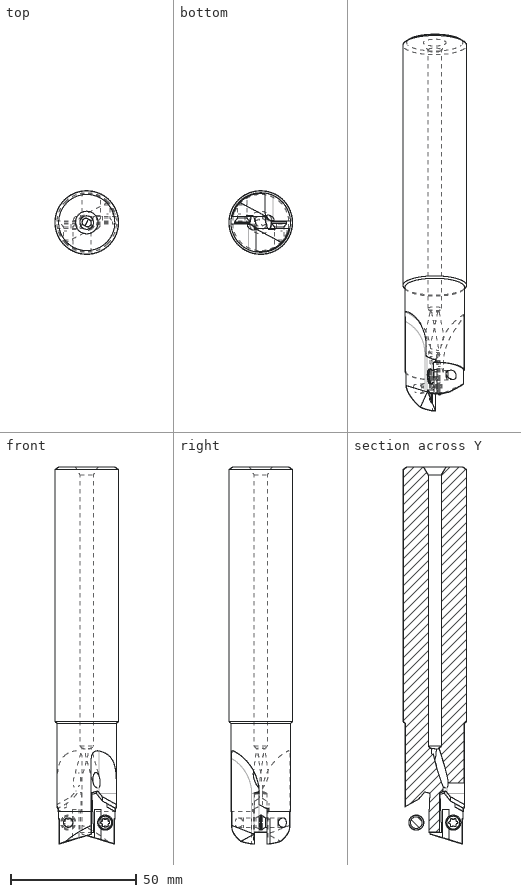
import cadquery as cq
import math

total_length = 150.5
shank_radius = 25.5 / 2
shank_bottom = 48.9
top_chamfer_width = 1.5
top_chamfer_height = 1.0

neck_radius = 11.9
neck_shoulder_drop = 0.8
head_radius = 11.6
head_top = 13.1

flute_wall_x = 1.8
flute_floor_y = -0.6
flute_straight_top = 20.2
flute_sweep_radius = 19.3
flute_corner_radius = 3.0

seat_y = 2.4
pocket_wall_x = 2.0
pocket_mouth_wall = [(pocket_wall_x, 20.5), (4.4, 21.2), (6.2, 19.0)]
pocket_seat_wall = [(2.1, 19.9), (3.8, 20.3), (6.3, 17.2)]
pocket_foot_x = 3.0
pocket_top_slope = 0.56
seat_relief_depth = 0.5
seat_relief_left = 3.2
seat_relief_right = 5.7
seat_relief_top = 13.8
groove_start_x = 8.1
groove_width = 1.4
groove_depth = 0.9

corner_flat_x = 11.0
corner_flat_top = 10.1

land_edge_slope = 0.31
land_relief_slope = 0.05
clearance_height = 3.0
clearance_edge_slope = 0.49
clearance_relief_slope = 0.39
land_height = land_edge_slope * corner_flat_x
web_bottom = 4.7

coolant_radius = 2.7
coolant_mouth_radius = 4.5
coolant_mouth_angle = 30.0
coolant_bottom = 39.1
branch_radius = 1.5
branch_exit = (4.0, -2.0, 24.7)
branch_overrun = 1.2

screw_x = 7.4
screw_z = 8.6
screw_radius = 3.8 / 2
screw_head_radius = 3.0
screw_head_top_y = -0.6
screw_head_bevel = 0.5
screw_head_rim = 0.5
screw_head_cone = 1.5
screw_end_y = 6.9
socket_radius = 1.4
socket_lobe_radius = 0.5
socket_depth = 1.2
lobe_count = 6

reach = 2 * shank_radius
below = -1.5
edge_margin = 0.8
flute_count = 2
flute_angles = [i * 360 / flute_count for i in range(flute_count)]


def around_axis(shape, angle):
    return shape.rotate((0, 0, 0), (0, 0, 1), angle)


def holder_blank():
    """Revolved shank, neck and head, before any cutting."""
    return (
        cq.Workplane("XZ")
        .moveTo(0, total_length)
        .lineTo(shank_radius - top_chamfer_width, total_length)
        .lineTo(shank_radius, total_length - top_chamfer_height)
        .lineTo(shank_radius, shank_bottom)
        .lineTo(neck_radius, shank_bottom - neck_shoulder_drop)
        .lineTo(neck_radius, head_top)
        .lineTo(head_radius, head_top)
        .lineTo(head_radius, 0)
        .lineTo(0, 0)
        .close()
        .revolve(360, (0, 0, 0), (0, 1, 0))
    )


def chip_flute():
    """Cutter for one flute, opening to -Y and +X."""
    arc_end_y = flute_floor_y - flute_sweep_radius
    arc_end_z = flute_straight_top + flute_sweep_radius
    arc_step = flute_sweep_radius * math.sqrt(0.5)
    arc_middle = (arc_end_y + arc_step, flute_straight_top + arc_step)
    flute = (
        cq.Workplane("YZ", origin=(flute_wall_x, 0, 0))
        .moveTo(flute_floor_y, below)
        .lineTo(flute_floor_y, flute_straight_top)
        .threePointArc(arc_middle, (arc_end_y, arc_end_z))
        .lineTo(arc_end_y, below)
        .close()
        .extrude(reach)
    )
    floor_corner = cq.selectors.BoxSelector(
        (flute_wall_x - edge_margin, arc_end_y + edge_margin, below + edge_margin),
        (flute_wall_x + edge_margin, 0, arc_end_z),
    )
    return flute.edges(floor_corner).fillet(flute_corner_radius)


def insert_pocket():
    """Cutter for the insert pocket: its inner and upper walls lean outwards."""

    def outline(wall, foot_x):
        corner_x, corner_z = wall[-1]
        outer_z = corner_z - pocket_top_slope * (reach - corner_x)
        return [(foot_x, below), *wall, (reach, outer_z), (reach, below)]

    mouth_plane = cq.Workplane("XZ", origin=(0, flute_floor_y, 0))
    mouth_outline = outline(pocket_mouth_wall, pocket_wall_x)
    seat_outline = outline(pocket_seat_wall, pocket_foot_x)
    corner_clearance = mouth_plane.polyline(mouth_outline).close().extrude(flute_corner_radius)
    recess = (
        mouth_plane.polyline(mouth_outline).close()
        .workplane(offset=flute_floor_y - seat_y)
        .polyline(seat_outline).close()
        .loft(ruled=True)
    )
    return recess.union(corner_clearance)


def seat_details():
    """Cutter for the shallow step in the seat and the groove under the top wall."""
    step = (
        cq.Workplane("XZ", origin=(0, seat_y, 0))
        .moveTo(seat_relief_left, below)
        .lineTo(seat_relief_left, seat_relief_top)
        .lineTo(seat_relief_right, seat_relief_top)
        .lineTo(seat_relief_right, below)
        .close()
        .extrude(-seat_relief_depth)
    )
    corner_x, corner_z = pocket_seat_wall[-1]
    start_z = corner_z - pocket_top_slope * (groove_start_x - corner_x)
    end_z = corner_z - pocket_top_slope * (reach - corner_x)
    groove = (
        cq.Workplane("XZ", origin=(0, seat_y, 0))
        .moveTo(groove_start_x, start_z)
        .lineTo(reach, end_z)
        .lineTo(reach, end_z - groove_width)
        .lineTo(groove_start_x, start_z - groove_width)
        .close()
        .extrude(-groove_depth)
    )
    return step.union(groove)


def below_plane(height, edge_slope, relief_slope):
    """Everything on the +Y half that lies under one sloping end face."""
    face = cq.Plane(
        origin=(0, seat_y, height),
        xDir=(1, 0, -edge_slope),
        normal=(edge_slope, -relief_slope, 1),
    )
    half = cq.Workplane("XY").box(2 * reach, reach, 2 * reach, centered=(True, False, True))
    return cq.Workplane(face).rect(4 * reach, 4 * reach).extrude(-2 * reach).intersect(half)


def end_relief():
    """Cutter that shapes the end behind one cutting edge."""
    land = below_plane(land_height, land_edge_slope, land_relief_slope)
    clearance = below_plane(clearance_height, clearance_edge_slope, clearance_relief_slope)
    return land.union(clearance)


def corner_flat():
    """Cutter for the flat beside one seat."""
    return (
        cq.Workplane("XY", origin=(corner_flat_x, 0, below))
        .rect(reach, head_radius, centered=False)
        .extrude(corner_flat_top - below)
    )


def web_gap():
    """Cutter that shortens the web between the two seats."""
    return cq.Workplane("XY", origin=(0, 0, web_bottom)).rect(2 * reach, 2 * seat_y).extrude(-reach)


def coolant_bore():
    """Central bore with a conical mouth and a conical bottom."""
    mouth_depth = (coolant_mouth_radius - coolant_radius) / math.tan(math.radians(coolant_mouth_angle))
    profile = [
        (0, coolant_bottom - coolant_radius),
        (coolant_radius, coolant_bottom),
        (coolant_radius, total_length - mouth_depth),
        (coolant_mouth_radius, total_length),
        (0, total_length),
    ]
    return cq.Workplane("XZ").polyline(profile).close().revolve(360, (0, 0, 0), (0, 1, 0))


def coolant_branch():
    """Slanted hole from the foot of the central bore to one flute."""
    start = cq.Vector(0, 0, coolant_bottom)
    run = cq.Vector(*branch_exit) - start
    return cq.Workplane(cq.Solid.makeCylinder(branch_radius, branch_overrun * run.Length, start, run))


def screw_hole():
    """Cutter for one screw hole, from the seat out through the back of the head."""
    return (
        cq.Workplane("XZ", origin=(screw_x, seat_y, screw_z))
        .circle(screw_radius)
        .extrude(-reach)
    )


def make_holder():
    holder = holder_blank()
    cutters = [
        chip_flute(),
        insert_pocket(),
        seat_details(),
        corner_flat(),
        end_relief(),
        coolant_branch(),
        screw_hole(),
    ]
    for angle in flute_angles:
        for cutter in cutters:
            holder = holder.cut(around_axis(cutter, angle))
    return holder.cut(web_gap()).cut(coolant_bore())


def make_screw():
    """Countersunk screw with a six-lobed socket, standing above the +X seat."""
    rim_start_y = screw_head_top_y + screw_head_bevel
    cone_start_y = rim_start_y + screw_head_rim
    profile = [
        (0, screw_head_top_y),
        (screw_head_radius - screw_head_bevel, screw_head_top_y),
        (screw_head_radius, rim_start_y),
        (screw_head_radius, cone_start_y),
        (screw_radius, cone_start_y + screw_head_cone),
        (screw_radius, screw_end_y),
        (0, screw_end_y),
    ]
    screw = cq.Workplane("XY").polyline(profile).close().revolve(360, (0, 0, 0), (0, 1, 0))
    head_face = cq.Workplane("XZ", origin=(0, screw_head_top_y, 0))
    socket = head_face.circle(socket_radius).extrude(-socket_depth)
    lobes = (
        head_face.polarArray(socket_radius, 0, 360, lobe_count)
        .circle(socket_lobe_radius)
        .extrude(-socket_depth)
    )
    return screw.cut(socket).cut(lobes).translate((screw_x, 0, screw_z))


holder = make_holder()
screws = [around_axis(make_screw(), angle) for angle in flute_angles]

result = cq.Compound.makeCompound([holder.solids().val(), *[screw.val() for screw in screws]])